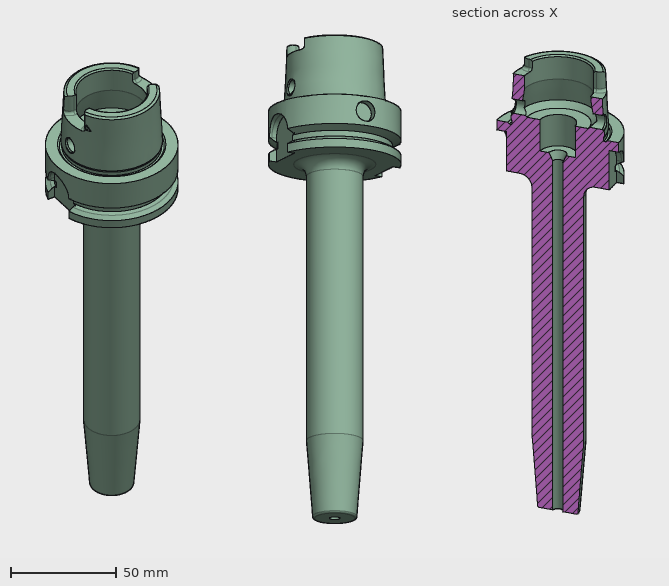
import cadquery as cq
import math


TAPER_TOP = 31.9
FLANGE_BOTTOM = -26.0
TIP_Z = -200.0

TAPER_GAUGE_RADIUS = 24.0
TAPER_GAUGE_Z = 6.3
TAPER_SLOPE = 1 / 20
TAPER_BASE_Z = 2.1
RIM_CHAMFER_WIDTH = 1.3
RIM_CHAMFER_HEIGHT = 0.7
NECK_RADIUS = 23.8
RECESS_RADIUS = 25.7
RECESS_DEPTH = 0.8

FLANGE_RADIUS = 31.5
GROOVE_RADIUS = 27.5
GROOVE_CENTER_Z = -18.1
GROOVE_FLOOR_WIDTH = 2.8
GROOVE_FLANK_ANGLE = 30
GROOVE_BEVEL_RADIUS = 29.3
GROOVE_BEVEL_DROP = 0.8

SHANK_RADIUS = 13.5
SHANK_FILLET = 6.0
TIP_RADIUS = 10.5
TIP_TAPER_ANGLE = 4.5
TIP_ROUND = 1.0

ENTRY_RADIUS = 17.0
ENTRY_CHAMFER = 0.8
ENTRY_END_Z = 19.3
CLAMP_RADIUS = 19.0
CLAMP_END_Z = 7.4
FLOOR_RADIUS = 15.8
FLOOR_Z = 4.5

THREAD_RADIUS = 9.0
THREAD_END_Z = -12.0
FUNNEL_RADIUS = 4.4
FUNNEL_END_Z = -16.0
COOLANT_RADIUS = 2.5

DRIVE_SLOT_DEPTHS = {-1: 10.4, 1: 5.8}
DRIVE_SLOT_HALF_WIDTH = 6.27
DRIVE_SLOT_INNER_Y = 10.0
DRIVE_SLOT_FLARE_RADIUS = 3.8
DRIVE_SLOT_FLARE_START_Y = 17.4
DRIVE_SLOT_BOTTOM_FILLET = 1.5
DRIVE_SLOT_OUTER_Y = 26.0

RELIEF_INNER_X = 9.8
RELIEF_OUTER_X = 12.3
RELIEF_TOP_DEPTH = 6.3
RELIEF_FLOOR_DEPTH = 9.0
RELIEF_TOP_Y = 20.6
RELIEF_FLOOR_Y = 19.6

CROSS_HOLE_RADIUS = 3.6
CROSS_HOLE_MOUTH_RADIUS = 4.1
CROSS_HOLE_MOUTH_DEPTH = 1.0
CROSS_HOLE_Z = 8.9

KEYWAY_RADIUS = 9.0
KEYWAY_CENTER_Z = -14.3
KEYWAY_FLOOR_Y = 26.5

CHIP_RADIUS = 5.0
CHIP_DEPTH = 4.0
CHIP_Z = -7.3


def taper_radius(z):
    """Radius of the outer taper at height z."""
    return TAPER_GAUGE_RADIUS - (z - TAPER_GAUGE_Z) * TAPER_SLOPE


def revolve_about_z(profile):
    return profile.close().revolve(360, (0, 0, 0), (0, 1, 0))


def make_body():
    """Solid of revolution: taper, flange, shank and tip."""
    flank_height = (FLANGE_RADIUS - GROOVE_RADIUS) * math.tan(math.radians(GROOVE_FLANK_ANGLE))
    groove_top = GROOVE_CENTER_Z + GROOVE_FLOOR_WIDTH / 2
    groove_bottom = GROOVE_CENTER_Z - GROOVE_FLOOR_WIDTH / 2
    fillet_end_z = FLANGE_BOTTOM - SHANK_FILLET
    fillet_mid = SHANK_FILLET * (1 - math.sqrt(0.5))
    tip_length = (SHANK_RADIUS - TIP_RADIUS) / math.tan(math.radians(TIP_TAPER_ANGLE))
    rim_z = TAPER_TOP - RIM_CHAMFER_HEIGHT
    profile = (
        cq.Workplane("XZ")
        .moveTo(0, TAPER_TOP)
        .lineTo(taper_radius(rim_z) - RIM_CHAMFER_WIDTH, TAPER_TOP)
        .lineTo(taper_radius(rim_z), rim_z)
        .lineTo(taper_radius(TAPER_BASE_Z), TAPER_BASE_Z)
        .lineTo(NECK_RADIUS, TAPER_BASE_Z / 2)
        .lineTo(NECK_RADIUS, -RECESS_DEPTH)
        .lineTo(RECESS_RADIUS - RECESS_DEPTH, -RECESS_DEPTH)
        .lineTo(RECESS_RADIUS, 0)
        .lineTo(FLANGE_RADIUS, 0)
        .lineTo(FLANGE_RADIUS, groove_top + flank_height)
        .lineTo(GROOVE_RADIUS, groove_top)
        .lineTo(GROOVE_RADIUS, groove_bottom)
        .lineTo(GROOVE_BEVEL_RADIUS, groove_bottom - GROOVE_BEVEL_DROP)
        .lineTo(FLANGE_RADIUS, groove_bottom - flank_height)
        .lineTo(FLANGE_RADIUS, FLANGE_BOTTOM)
        .lineTo(SHANK_RADIUS + SHANK_FILLET, FLANGE_BOTTOM)
        .threePointArc(
            (SHANK_RADIUS + fillet_mid, FLANGE_BOTTOM - fillet_mid),
            (SHANK_RADIUS, fillet_end_z),
        )
        .lineTo(SHANK_RADIUS, TIP_Z + tip_length)
        .lineTo(TIP_RADIUS, TIP_Z)
        .lineTo(0, TIP_Z)
    )
    return revolve_about_z(profile).faces("<Z").edges().fillet(TIP_ROUND)


def make_hollow():
    """Clamping cavity, thread hole, funnel and coolant bore as one revolved cutter."""
    profile = (
        cq.Workplane("XZ")
        .moveTo(0, TAPER_TOP)
        .lineTo(ENTRY_RADIUS + ENTRY_CHAMFER, TAPER_TOP)
        .lineTo(ENTRY_RADIUS, TAPER_TOP - ENTRY_CHAMFER)
        .lineTo(ENTRY_RADIUS, ENTRY_END_Z)
        .lineTo(CLAMP_RADIUS, CLAMP_END_Z)
        .lineTo(FLOOR_RADIUS, FLOOR_Z)
        .lineTo(THREAD_RADIUS, FLOOR_Z)
        .lineTo(THREAD_RADIUS, THREAD_END_Z)
        .lineTo(FUNNEL_RADIUS, THREAD_END_Z)
        .lineTo(COOLANT_RADIUS, FUNNEL_END_Z)
        .lineTo(COOLANT_RADIUS, TIP_Z)
        .lineTo(0, TIP_Z)
    )
    return revolve_about_z(profile)


def make_drive_slot(side, depth):
    """Rim slot on the side of the given Y sign, with walls flaring outward and a filleted floor."""
    half = DRIVE_SLOT_HALF_WIDTH
    flare = DRIVE_SLOT_FLARE_RADIUS
    bend = flare * math.sqrt(0.5)
    flare_x = half + flare
    flare_y = DRIVE_SLOT_FLARE_START_Y + flare
    mid_x = flare_x - bend
    mid_y = DRIVE_SLOT_FLARE_START_Y + bend
    outer_x = 2 * flare_x
    slot = (
        cq.Workplane("XY", origin=(0, 0, TAPER_TOP - depth))
        .moveTo(-half, DRIVE_SLOT_INNER_Y)
        .lineTo(half, DRIVE_SLOT_INNER_Y)
        .lineTo(half, DRIVE_SLOT_FLARE_START_Y)
        .threePointArc((mid_x, mid_y), (flare_x, flare_y))
        .lineTo(outer_x, flare_y)
        .lineTo(outer_x, DRIVE_SLOT_OUTER_Y)
        .lineTo(-outer_x, DRIVE_SLOT_OUTER_Y)
        .lineTo(-outer_x, flare_y)
        .lineTo(-flare_x, flare_y)
        .threePointArc((-mid_x, mid_y), (-half, DRIVE_SLOT_FLARE_START_Y))
        .close()
        .extrude(depth)
        .faces("<Z")
        .edges()
        .fillet(DRIVE_SLOT_BOTTOM_FILLET)
    )
    return slot if side > 0 else slot.rotate((0, 0, 0), (0, 0, 1), 180)


def make_slot_reliefs():
    """Pair of wedge cutters with sloping backs and level floors, beside the -Y drive slot."""
    top_z = TAPER_TOP - RELIEF_TOP_DEPTH
    floor_z = TAPER_TOP - RELIEF_FLOOR_DEPTH
    wedge = (
        cq.Workplane("YZ", origin=(RELIEF_INNER_X, 0, 0))
        .moveTo(-RELIEF_TOP_Y, top_z)
        .lineTo(-RELIEF_FLOOR_Y, floor_z)
        .lineTo(-DRIVE_SLOT_OUTER_Y, floor_z)
        .lineTo(-DRIVE_SLOT_OUTER_Y, top_z)
        .close()
        .extrude(RELIEF_OUTER_X - RELIEF_INNER_X)
    )
    return wedge.union(wedge.mirror("YZ"))


def make_cross_holes():
    """Hole along Y through both taper walls, countersunk at each outer mouth."""
    mouth_y = taper_radius(CROSS_HOLE_Z)
    holes = (
        cq.Workplane("XZ", origin=(0, 0, CROSS_HOLE_Z))
        .circle(CROSS_HOLE_RADIUS)
        .extrude(FLANGE_RADIUS, both=True)
    )
    for side in (-1, 1):
        countersink = cq.Solid.makeCone(
            CROSS_HOLE_MOUTH_RADIUS,
            CROSS_HOLE_RADIUS,
            CROSS_HOLE_MOUTH_DEPTH,
            cq.Vector(0, side * mouth_y, CROSS_HOLE_Z),
            cq.Vector(0, -side, 0),
        )
        holes = holes.union(cq.Workplane(countersink))
    return holes


def make_keyway(side):
    """Round-topped flange keyway, open downward, on the side of the given Y sign."""
    length = KEYWAY_CENTER_Z - FLANGE_BOTTOM
    keyway_depth = FLANGE_RADIUS - KEYWAY_FLOOR_Y
    center_y = side * (KEYWAY_FLOOR_Y + keyway_depth / 2)
    top = (
        cq.Workplane("XZ", origin=(0, center_y, KEYWAY_CENTER_Z))
        .circle(KEYWAY_RADIUS)
        .extrude(keyway_depth / 2, both=True)
    )
    stem = (
        cq.Workplane("XY", origin=(0, center_y, FLANGE_BOTTOM))
        .rect(2 * KEYWAY_RADIUS, keyway_depth)
        .extrude(length)
    )
    return top.union(stem)


def make_chip_pocket():
    return (
        cq.Workplane("YZ", origin=(-FLANGE_RADIUS, 0, CHIP_Z))
        .circle(CHIP_RADIUS)
        .extrude(CHIP_DEPTH)
    )


result = make_body().cut(make_hollow()).cut(make_cross_holes()).cut(make_chip_pocket())
result = result.cut(make_slot_reliefs())
for slot_side, slot_depth in DRIVE_SLOT_DEPTHS.items():
    result = result.cut(make_drive_slot(slot_side, slot_depth))
    result = result.cut(make_keyway(slot_side))